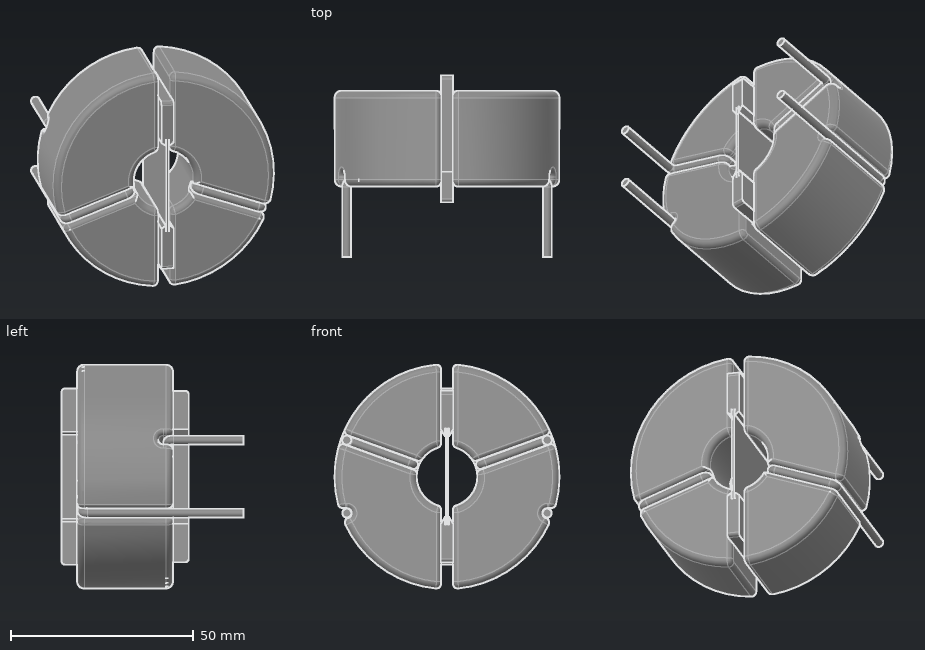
import cadquery as cq
import math


outer_radius = 30.9
bore_radius = 8.3
ring_depth = 26.4
gap_half_width = 1.6
rim_round = 2.0
edge_round = 1.35

wire_radius = 1.25
wire_angle = 20.0
lead_length = 19.35
lead_reach = 29.3
bend_radius = 1.4
wire_inset = 1.4
inner_run_reach = 9.75
embedded_length = 5.55
groove_radius = 1.35
groove_axis_depth = 2.7
groove_reach = outer_radius + 3.1

plate_half_width = 1.7
plate_front = -4.3
plate_back = ring_depth + 4.25
plate_step = 4.1
plate_corner_round = 1.0
front_half_height = 23.55
back_half_height = 24.2
taper_tip_half_width = 0.55
front_taper_start = 13.0
front_taper_tip = 11.05
back_taper_start = 12.35
back_taper_tip = 11.55

web_thickness = 0.7
web_slot_width = 1.0
web_half_height = 13.15


def about_ring_axis(shape, angle):
    """Turn a shape about the Y axis; a positive angle lifts its +X end towards +Z."""
    return shape.rotate((0, 0, 0), (0, 1, 0), -angle)


def touches(shape, point):
    """Whether a point lies on the skin of a solid."""
    tolerance = 0.0005
    vertex = cq.Vertex.makeVertex(*point.toTuple())
    return shape.val().Shells()[0].distance(vertex) < tolerance


def cut_with_round_rim(body, cutter, radius):
    """Cut a groove and round the edges where it breaks the surface of the body."""
    grooved = body.cut(cutter)
    rim = []
    for edge in grooved.edges().vals():
        samples = [edge.positionAt(0.3), edge.positionAt(0.5)]
        if all(touches(body, point) and touches(cutter, point) for point in samples):
            rim.append(edge)
    return grooved.newObject(rim).fillet(radius)


def plain_half():
    """Right-hand half ring with rounded rims and rounded edges along the gap."""
    ring = cq.Workplane("XZ").circle(outer_radius).circle(bore_radius).extrude(-ring_depth)
    right_side = cq.Workplane("XY").box(
        outer_radius, 2 * ring_depth, 2 * outer_radius, centered=(False, True, True)
    )
    half = ring.intersect(right_side.translate((gap_half_width, 0, 0)))
    half = half.edges("%CIRCLE").fillet(rim_round)
    return half.faces("<X").edges().fillet(edge_round)


def front_groove():
    """Round-bottomed groove in the front face, running along +X from the bore to the rim."""
    floor = cq.Workplane("YZ", origin=(0, groove_axis_depth, 0)).circle(groove_radius).extrude(groove_reach)
    walls = cq.Workplane("XY").box(
        groove_reach, 2 * groove_axis_depth, 2 * groove_radius, centered=(False, True, True)
    )
    return floor.union(walls)


def back_groove():
    """Groove in the back face like the front one, its rounded lips part of the cutter."""
    lip_half_width = groove_radius + edge_round
    lip_y = ring_depth - edge_round
    floor_axis_y = ring_depth - groove_axis_depth
    lip_middle = edge_round * (1 - math.sqrt(0.5))
    return (
        cq.Workplane("YZ")
        .moveTo(ring_depth, -lip_half_width)
        .threePointArc(
            (ring_depth - lip_middle, -groove_radius - lip_middle), (lip_y, -groove_radius)
        )
        .lineTo(floor_axis_y, -groove_radius)
        .threePointArc((floor_axis_y - groove_radius, 0), (floor_axis_y, groove_radius))
        .lineTo(lip_y, groove_radius)
        .threePointArc(
            (ring_depth - lip_middle, groove_radius + lip_middle), (ring_depth, lip_half_width)
        )
        .close()
        .extrude(groove_reach)
    )


def lead_slot():
    """Slot around the lower lead through the full ring depth, open outwards along +X."""
    x = lead_reach * math.cos(math.radians(wire_angle))
    z = -lead_reach * math.sin(math.radians(wire_angle))
    floor = cq.Workplane("XZ", origin=(x, 0, z)).circle(groove_radius).extrude(-ring_depth)
    mouth = cq.Workplane("XY", origin=(x, 0, z)).box(
        outer_radius - x + groove_radius, ring_depth, 2 * groove_radius, centered=(False, False, True)
    )
    return floor.union(mouth)


def grooved_half():
    """Right-hand half ring with its wire grooves."""
    half = cut_with_round_rim(plain_half(), about_ring_axis(front_groove(), wire_angle), edge_round)
    half = cut_with_round_rim(half, lead_slot(), edge_round)
    return half.cut(about_ring_axis(back_groove(), -wire_angle))


def wire(run_y, return_direction):
    """Wire in the XY plane: lead along Y, run inwards at run_y, stub set in the ring.

    return_direction is +1 when the stub heads to +Y and -1 when it heads to -Y.
    """
    lead_end_y = run_y - bend_radius
    stub_start_y = run_y + return_direction * bend_radius
    stub_end_y = stub_start_y + return_direction * embedded_length
    path = (
        cq.Workplane("XY")
        .moveTo(lead_reach, -lead_length)
        .lineTo(lead_reach, lead_end_y)
        .tangentArcPoint((lead_reach - bend_radius, run_y), relative=False)
        .lineTo(inner_run_reach + bend_radius, run_y)
        .tangentArcPoint((inner_run_reach, stub_start_y), relative=False)
        .lineTo(inner_run_reach, stub_end_y)
    )
    profile = cq.Workplane("XZ", origin=(lead_reach, -lead_length, 0)).circle(wire_radius)
    return profile.sweep(path)


def wired_half():
    """Right-hand half ring with an upper wire on the front and a lower one on the back."""
    upper_wire = about_ring_axis(wire(wire_inset, 1), wire_angle)
    lower_wire = about_ring_axis(wire(ring_depth - wire_inset, -1), -wire_angle)
    return grooved_half().union(upper_wire).union(lower_wire)


def plate_bar(start_y, end_y, corner_edges, half_height, taper_start, taper_tip):
    """Upper bar of the divider plate, narrowing downwards to its tip beside the web."""
    bar = (
        cq.Workplane("XZ", origin=(0, start_y, 0))
        .moveTo(-plate_half_width, half_height)
        .lineTo(plate_half_width, half_height)
        .lineTo(plate_half_width, taper_start)
        .lineTo(taper_tip_half_width, taper_tip)
        .lineTo(-taper_tip_half_width, taper_tip)
        .lineTo(-plate_half_width, taper_start)
        .close()
        .extrude(start_y - end_y)
    )
    return bar.edges(corner_edges).fillet(plate_corner_round)


def divider():
    """Plate with one bar above and one below the bore, joined by the thin web."""
    front_bar = plate_bar(
        plate_front, plate_step, "|X and >Z and <Y", front_half_height, front_taper_start, front_taper_tip
    )
    back_bar = plate_bar(
        plate_step, plate_back, "|X and >Z and >Y", back_half_height, back_taper_start, back_taper_tip
    )
    upper_bar = front_bar.union(back_bar)
    bars = upper_bar.union(upper_bar.mirror("XY"))
    plate_depth = plate_back - plate_front
    web_corner = cq.Workplane("XY", origin=(0, plate_front, 0))
    slot = web_corner.box(web_slot_width, plate_depth, 2 * web_half_height, centered=(True, False, True))
    web = web_corner.box(web_thickness, plate_depth, 2 * web_half_height, centered=(True, False, True))
    return bars.cut(slot).union(web)


right_half = wired_half()
result = right_half.union(right_half.mirror("YZ")).union(divider())